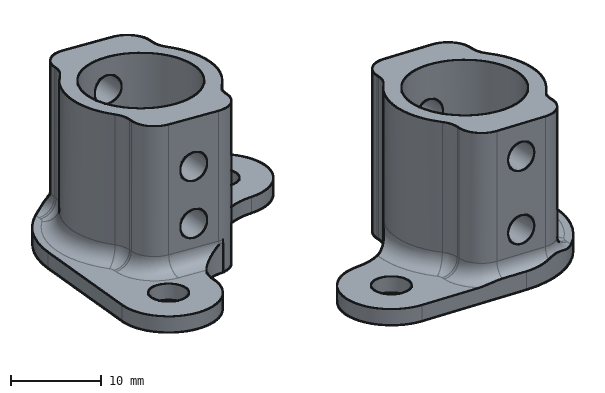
import cadquery as cq
import math

total_height = 20.0
plate_thickness = 2.0
foot_fillet = 2.0

socket_tilt = -2.0
bore_diameter = 14.0
barrel_radius = 9.0
lobe_length = 22.0
lobe_width = 12.5
lobe_corner_radius = 3.0
lobe_blend_radius = 3.0

flange_radius = 12.0
ear_radius = 6.0
ear_hole_diameter = 4.5
upper_ear = (-5.5, 14.15)
right_ear = (15.35, -6.67)
upper_neck_radius = 8.0
right_neck_radius = 4.0

pin_diameter = 3.5
lower_pin_height = 7.0
upper_pin_height_left = 16.0
upper_pin_height_right = 14.0

slab_size = 4 * flange_radius


def polar(center, radius, angle):
    return (center[0] + radius * math.cos(angle), center[1] + radius * math.sin(angle))


def direction(start, end):
    return math.atan2(end[1] - start[1], end[0] - start[0])


def turned(x, y):
    """Turn a point from the socket's own axes into the part's axes."""
    return polar((0, 0), math.hypot(x, y), math.atan2(y, x) + math.radians(socket_tilt))


def make_socket():
    lobes = (
        cq.Workplane("XY")
        .rect(lobe_length, lobe_width)
        .extrude(total_height)
        .edges("|Z")
        .fillet(lobe_corner_radius)
    )
    socket = lobes.union(cq.Workplane("XY").circle(barrel_radius).extrude(total_height))
    crease_x = math.sqrt(barrel_radius**2 - (lobe_width / 2) ** 2)
    for x in (-crease_x, crease_x):
        for y in (-lobe_width / 2, lobe_width / 2):
            crease = cq.selectors.NearestToPointSelector((x, y, total_height / 2))
            socket = socket.edges(crease).fillet(lobe_blend_radius)
    return socket.rotate((0, 0, 0), (0, 0, 1), socket_tilt)


def upper_neck_center():
    """Center of the arc touching both the upper ear and the barrel."""
    to_ear = math.hypot(*upper_ear)
    to_barrel = barrel_radius + upper_neck_radius
    ear_gap = ear_radius + upper_neck_radius
    turn = math.acos((to_barrel**2 + to_ear**2 - ear_gap**2) / (2 * to_barrel * to_ear))
    return polar((0, 0), to_barrel, direction((0, 0), upper_ear) - turn)


def right_neck_points():
    """Center of the arc touching the right ear and the lobe end, and its point on the lobe end."""
    tilt = math.radians(socket_tilt)
    ear_x = right_ear[0] * math.cos(tilt) + right_ear[1] * math.sin(tilt)
    ear_y = right_ear[1] * math.cos(tilt) - right_ear[0] * math.sin(tilt)
    neck_x = lobe_length / 2 + right_neck_radius
    neck_y = ear_y + math.sqrt((ear_radius + right_neck_radius) ** 2 - (neck_x - ear_x) ** 2)
    return turned(neck_x, neck_y), turned(lobe_length / 2, neck_y)


def make_flange_outline(height):
    """Flange outline extruded; its inner corner at the origin lies inside the socket."""
    origin = (0.0, 0.0)
    radius_drop = flange_radius - ear_radius
    left_normal = direction(origin, upper_ear) + math.acos(radius_drop / math.hypot(*upper_ear))
    front_normal = direction(origin, right_ear) - math.acos(radius_drop / math.hypot(*right_ear))
    corner_middle = (left_normal - 2 * math.pi + front_normal) / 2

    upper_neck = upper_neck_center()
    upper_start = direction(upper_ear, upper_neck)
    neck_out = direction(upper_neck, upper_ear) % (2 * math.pi)
    neck_in = direction(upper_neck, origin) % (2 * math.pi)

    right_neck, lobe_touch = right_neck_points()
    lobe_side = direction(right_neck, lobe_touch) % (2 * math.pi)
    ear_side = direction(right_neck, right_ear) % (2 * math.pi)
    right_start = direction(right_ear, right_neck)

    return (
        cq.Workplane("XY")
        .moveTo(*polar(origin, flange_radius, left_normal))
        .lineTo(*polar(upper_ear, ear_radius, left_normal))
        .threePointArc(
            polar(upper_ear, ear_radius, (left_normal + upper_start) / 2),
            polar(upper_ear, ear_radius, upper_start),
        )
        .threePointArc(
            polar(upper_neck, upper_neck_radius, (neck_out + neck_in) / 2),
            polar(upper_neck, upper_neck_radius, neck_in),
        )
        .lineTo(*origin)
        .lineTo(*lobe_touch)
        .threePointArc(
            polar(right_neck, right_neck_radius, (lobe_side + ear_side) / 2),
            polar(right_neck, right_neck_radius, ear_side),
        )
        .threePointArc(
            polar(right_ear, ear_radius, (right_start + front_normal) / 2),
            polar(right_ear, ear_radius, front_normal),
        )
        .lineTo(*polar(origin, flange_radius, front_normal))
        .threePointArc(
            polar(origin, flange_radius, corner_middle),
            polar(origin, flange_radius, left_normal),
        )
        .close()
        .extrude(height)
    )


def make_pin_hole(height, side):
    """Pin hole from the bore outward; side is -1 for the left lobe and 1 for the right."""
    return (
        cq.Workplane("YZ")
        .center(0, height)
        .circle(pin_diameter / 2)
        .extrude(side * lobe_length)
        .rotate((0, 0, 0), (0, 0, 1), socket_tilt)
    )


socket = make_socket()
slab = cq.Workplane("XY").rect(slab_size, slab_size).extrude(plate_thickness)
foot_edges = cq.selectors.BoxSelector(
    (-flange_radius, -flange_radius, plate_thickness - 0.05),
    (flange_radius, flange_radius, plate_thickness + 0.05),
)
flared = slab.union(socket).edges(foot_edges).fillet(foot_fillet)
body = flared.intersect(make_flange_outline(total_height).union(socket))

body = body.cut(cq.Workplane("XY").circle(bore_diameter / 2).extrude(total_height))
ear_holes = cq.Workplane("XY").pushPoints([upper_ear, right_ear]).circle(ear_hole_diameter / 2)
body = body.cut(ear_holes.extrude(plate_thickness))

for height, side in (
    (lower_pin_height, -1),
    (lower_pin_height, 1),
    (upper_pin_height_left, -1),
    (upper_pin_height_right, 1),
):
    body = body.cut(make_pin_hole(height, side))

result = body